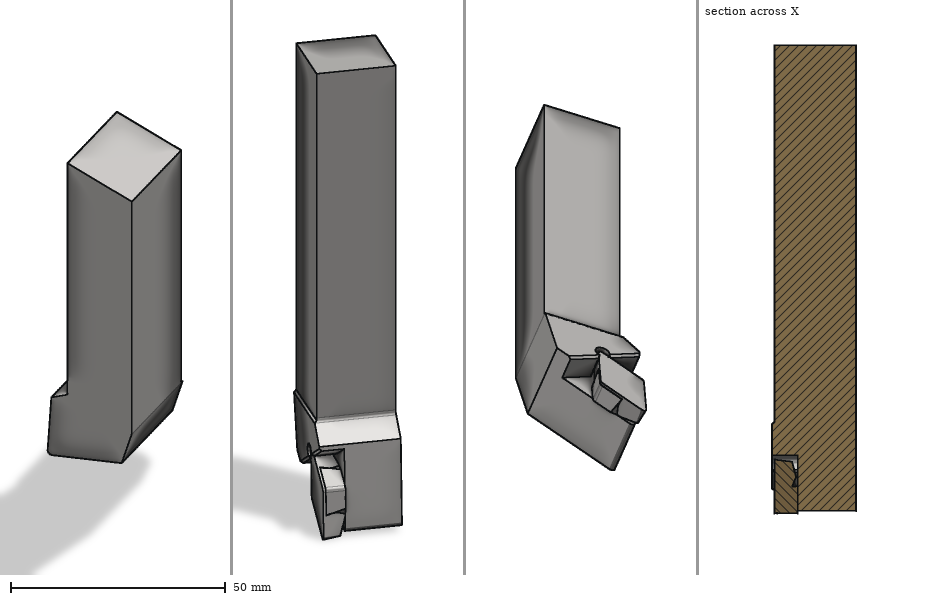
import cadquery as cq
import math


TOTAL_LENGTH = 115.6
SHANK_WIDTH = 18.9
SHANK_DEPTH = 19.1
HEAD_DEPTH = 19.7
BACK_STEP = HEAD_DEPTH - SHANK_DEPTH
SHOULDER_REACH = 4.7
SHOULDER_Z = 27.9
CRANK_FILLET = 1.5
RIGHT_BEND_Z = 27.6
HEEL_INSET = 3.0
HEEL_Z = 14.1
HEAD_NOSE_RADIUS = 0.9

OVERALL_WIDTH = 25.5
LEAN_ANGLE = 3.0
TIP_ANGLE = 55.0
INSERT_SIDE = 13.4
TIP_RADIUS = 0.8
SIDE_CORNER_RADIUS = 1.3
INSERT_TOP_Y = SHANK_DEPTH
INSERT_THICKNESS = 5.4
CLEARANCE_ANGLE = 7.0
RIM_THICKNESS = 0.7
PAD_LENGTH_TOP = 6.5
PAD_LENGTH_BOTTOM = 5.2
PAD_RAMP_LENGTH = 7.3
UNDERSIDE_FLAT_RADIUS = 6.5
UNDERSIDE_BEVEL_ANGLE = 18.0

FLOOR_Y = INSERT_TOP_Y - INSERT_THICKNESS
WALL_START_Z = 22.0
CORNER_RELIEF_DIAMETER = 3.5
CORNER_RELIEF_INSET = 1.7

CUT_REACH = 46.3

lean = math.radians(LEAN_ANGLE)
edge_angle = math.radians(90 - LEAN_ANGLE - TIP_ANGLE)
half_tip = math.radians(TIP_ANGLE / 2)
bisector_angle = edge_angle + half_tip
left_edge = (math.sin(lean), math.cos(lean))
lower_edge = (math.cos(edge_angle), math.sin(edge_angle))
bisector = (math.cos(bisector_angle), math.sin(bisector_angle))

nose_offset = TIP_RADIUS / math.sin(half_tip)
tip_x = SHANK_WIDTH - OVERALL_WIDTH + TIP_RADIUS - nose_offset * bisector[0]
tip_z = TIP_RADIUS - nose_offset * bisector[1]


def face_plane(y):
    """XZ plane at depth y; a positive extrusion goes towards -Y."""
    return cq.Workplane("XZ", origin=(0, y, 0))


def insert_point(along_left, along_lower):
    """XZ point reached from the sharp tip by steps along the two cutting edges."""
    return (
        tip_x + along_left * left_edge[0] + along_lower * lower_edge[0],
        tip_z + along_left * left_edge[1] + along_lower * lower_edge[1],
    )


INSERT_CENTER = insert_point(INSERT_SIDE / 2, INSERT_SIDE / 2)
FAR_CORNER = insert_point(INSERT_SIDE, INSERT_SIDE)


def insert_outline():
    """Rhombus with rounded corners: small at the tips, larger at the sides."""
    sharp_corners = [(0, 0), (0, INSERT_SIDE), (INSERT_SIDE, INSERT_SIDE), (INSERT_SIDE, 0), (0, 0)]
    outline = cq.Sketch().polygon([insert_point(*corner) for corner in sharp_corners])
    tips = cq.selectors.NearestToPointSelector((tip_x, tip_z, 0))
    far_tip = cq.selectors.NearestToPointSelector((*FAR_CORNER, 0))
    outline = outline.vertices(tips + far_tip).fillet(TIP_RADIUS).reset()
    for corner in [(INSERT_SIDE, 0), (0, INSERT_SIDE)]:
        nearest = cq.selectors.NearestToPointSelector((*insert_point(*corner), 0))
        outline = outline.vertices(nearest).fillet(SIDE_CORNER_RADIUS).reset()
    return outline


def insert_prism(top_y, taper=0.0):
    """The insert's outline carried from top_y down to the pocket floor."""
    return face_plane(top_y).placeSketch(insert_outline()).extrude(top_y - FLOOR_Y, taper=taper)


def make_pad(swap_sides):
    """Upright wall block around one obtuse corner, below the rim, with ramped ends."""
    inset = INSERT_THICKNESS * math.tan(math.radians(CLEARANCE_ANGLE))
    inward = inset / math.sin(math.radians(TIP_ANGLE))

    def section(wall_length, ramp_length):
        steps = [
            (INSERT_SIDE / 2, INSERT_SIDE / 2),
            (INSERT_SIDE - ramp_length, inward),
            (INSERT_SIDE - wall_length, 0),
            (INSERT_SIDE, 0),
            (INSERT_SIDE, wall_length),
            (INSERT_SIDE - inward, ramp_length),
        ]
        return [insert_point(*(step[::-1] if swap_sides else step)) for step in steps]

    return (
        face_plane(INSERT_TOP_Y - RIM_THICKNESS)
        .polyline(section(PAD_LENGTH_TOP, PAD_LENGTH_TOP)).close()
        .workplane(offset=INSERT_THICKNESS - RIM_THICKNESS)
        .polyline(section(PAD_LENGTH_BOTTOM, PAD_RAMP_LENGTH)).close()
        .loft(ruled=True)
    )


def underside_envelope():
    """Round body whose conical bottom bevels the underside below the tips."""
    rise = (INSERT_SIDE - UNDERSIDE_FLAT_RADIUS) * math.tan(math.radians(UNDERSIDE_BEVEL_ANGLE))
    profile = [
        (0, FLOOR_Y),
        (UNDERSIDE_FLAT_RADIUS, FLOOR_Y),
        (INSERT_SIDE, FLOOR_Y + rise),
        (INSERT_SIDE, INSERT_TOP_Y),
        (0, INSERT_TOP_Y),
    ]
    return (
        cq.Workplane("XY", origin=(INSERT_CENTER[0], 0, INSERT_CENTER[1]))
        .polyline(profile).close().revolve(360, (0, 0, 0), (0, 1, 0))
    )


def make_insert():
    insert = insert_prism(INSERT_TOP_Y, taper=CLEARANCE_ANGLE)
    for swap_sides in (False, True):
        insert = insert.union(make_pad(swap_sides).intersect(insert_prism(INSERT_TOP_Y)))
    return insert.intersect(underside_envelope())


def holder_outline():
    """Outline of shank and head, with the sharp nose where its two edges meet."""
    shoulder = (-SHOULDER_REACH, SHOULDER_Z - SHOULDER_REACH)
    heel = (SHANK_WIDTH - HEEL_INSET, HEEL_Z)
    lower_slope = math.tan(edge_angle)
    drop = shoulder[1] - heel[1] + lower_slope * (heel[0] - shoulder[0])
    nose_drop = drop / (1 - lower_slope * math.tan(lean))
    nose = (shoulder[0] - nose_drop * math.tan(lean), shoulder[1] - nose_drop)
    return [
        (0, TOTAL_LENGTH), (0, SHOULDER_Z), shoulder, nose, heel,
        (SHANK_WIDTH, RIGHT_BEND_Z), (SHANK_WIDTH, TOTAL_LENGTH),
    ]


def back_step_cutter():
    """Takes the shank down to its own depth, with a 45 degree step above the head."""
    profile = [
        (SHANK_DEPTH, TOTAL_LENGTH),
        (SHANK_DEPTH, SHOULDER_Z),
        (HEAD_DEPTH, SHOULDER_Z - BACK_STEP),
        (HEAD_DEPTH, TOTAL_LENGTH),
    ]
    return cq.Workplane("YZ").polyline(profile).close().extrude(CUT_REACH, both=True)


def chip_space_cutter():
    """Everything above the pocket floor on the tip side of the chip wall,
    which stands square to the insert's long diagonal."""
    wall_plane = cq.Plane(
        origin=(-SHOULDER_REACH, 0, WALL_START_Z),
        xDir=(bisector[0], 0, bisector[1]),
        normal=(-bisector[1], 0, bisector[0]),
    )
    profile = [
        (-CUT_REACH, FLOOR_Y),
        (0, FLOOR_Y),
        (0, SHANK_DEPTH),
        (BACK_STEP, HEAD_DEPTH),
        (-CUT_REACH, HEAD_DEPTH),
    ]
    return cq.Workplane(wall_plane).polyline(profile).close().extrude(CUT_REACH, both=True)


def corner_relief_cutter():
    """Round relief for the insert's far tip."""
    center = [FAR_CORNER[i] - CORNER_RELIEF_INSET * bisector[i] for i in range(2)]
    return (
        face_plane(HEAD_DEPTH).center(*center)
        .circle(CORNER_RELIEF_DIAMETER / 2).extrude(HEAD_DEPTH - FLOOR_Y)
    )


def make_holder():
    outline = holder_outline()
    blank = face_plane(HEAD_DEPTH).polyline(outline).close().extrude(HEAD_DEPTH)
    crank_corner = cq.selectors.NearestToPointSelector((0, HEAD_DEPTH / 2, SHOULDER_Z))
    blank = blank.edges("|Y").edges(crank_corner).fillet(CRANK_FILLET)
    blank = blank.edges("|Y").edges("<Z").fillet(HEAD_NOSE_RADIUS)
    holder = blank.cut(back_step_cutter()).cut(chip_space_cutter())
    return holder.cut(insert_prism(HEAD_DEPTH)).cut(corner_relief_cutter())


holder = make_holder()
insert = make_insert()
result = cq.Compound.makeCompound([holder.solids().val(), insert.solids().val()])